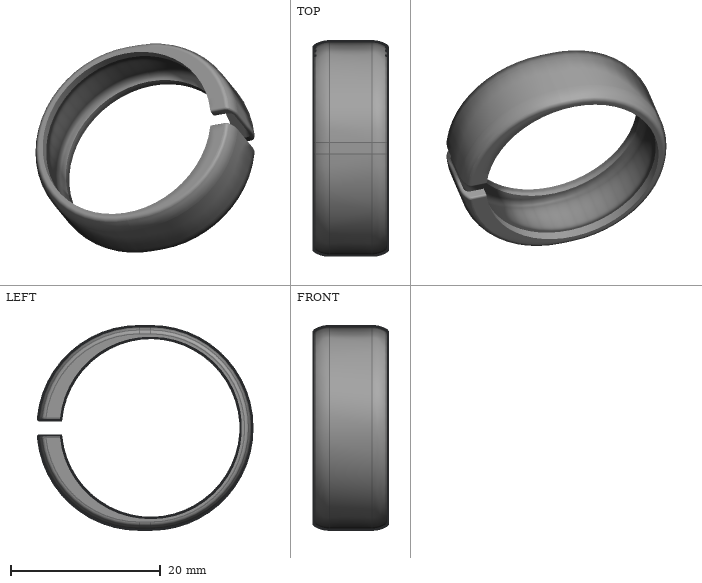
import cadquery as cq
import math

width = 10.0
outer_radius = 13.6
center_offset = 1.5
bore_radius = 12.0

flat_width = 5.65
shoulder_radius = 3.6
edge_radius = 0.6

flange_thickness = 1.3
channel_radius = 13.1
channel_corner_radius = 0.8

gap_height = 2.0
gap_edge_radius = 0.3

side_tolerance = 1e-4
crown_tolerance = 0.01

bore_axis_y = -center_offset / 2
gap_axis_y = center_offset / 2
half_width = width / 2
half_flat = flat_width / 2


def point_on_arc(center, radius, angle):
    """Point on a circle, with the angle measured from +Z toward +X."""
    return (center[0] + radius * math.sin(angle), center[1] + radius * math.cos(angle))


def section(axis_y):
    """Crowned cross-section in the XZ plane at axis_y, above the ring axis."""
    shoulder_center = (half_flat, outer_radius - shoulder_radius)
    edge_x = half_width - edge_radius
    meet_angle = math.asin((edge_x - half_flat) / (shoulder_radius - edge_radius))
    edge_center = point_on_arc(shoulder_center, shoulder_radius - edge_radius, meet_angle)

    shoulder_mid = point_on_arc(shoulder_center, shoulder_radius, meet_angle / 2)
    meet = point_on_arc(shoulder_center, shoulder_radius, meet_angle)
    edge_mid = point_on_arc(edge_center, edge_radius, (meet_angle + math.pi / 2) / 2)
    edge_end = (half_width, edge_center[1])

    def mirrored(point):
        return (-point[0], point[1])

    return (
        cq.Workplane("XZ", origin=(0, axis_y, 0))
        .moveTo(-half_width, 0)
        .lineTo(half_width, 0)
        .lineTo(*edge_end)
        .threePointArc(edge_mid, meet)
        .threePointArc(shoulder_mid, (half_flat, outer_radius))
        .lineTo(-half_flat, outer_radius)
        .threePointArc(mirrored(shoulder_mid), mirrored(meet))
        .threePointArc(mirrored(edge_mid), mirrored(edge_end))
        .close()
    )


def outer_body():
    """Solid crowned body: two half turns joined by a straight stretch."""
    bore_half = section(bore_axis_y).revolve(180, (0, 0), (1, 0))
    gap_half = section(gap_axis_y).revolve(180, (0, 0), (-1, 0))
    straight_top = section(gap_axis_y).extrude(center_offset)
    straight_bottom = straight_top.mirror("XY")
    return bore_half.union(gap_half).union(straight_top).union(straight_bottom)


def bore():
    """Round opening through both flanges."""
    return (
        cq.Workplane("YZ", origin=(-half_width, 0, 0))
        .center(bore_axis_y, 0)
        .circle(bore_radius)
        .extrude(width)
    )


def channel():
    """Oblong channel between the flanges, with rounded floor corners."""
    return (
        cq.Workplane("YZ", origin=(-half_width + flange_thickness, 0, 0))
        .slot2D(center_offset + 2 * channel_radius, 2 * channel_radius)
        .extrude(width - 2 * flange_thickness)
        .faces("<X or >X")
        .edges()
        .fillet(channel_corner_radius)
    )


def gap():
    """Slot that opens the ring on the +Y side."""
    return cq.Workplane("XY").box(width, 2 * outer_radius, gap_height).translate((0, outer_radius, 0))


def gap_outer_edges(ring):
    """Edges of the two gap faces that lie on the outside of the ring."""
    gap_region = cq.selectors.BoxSelector(
        (-width, 0, -gap_height), (width, 2 * outer_radius, gap_height)
    )
    face_edges = ring.faces(gap_region).faces("|Z").edges()
    edges = []
    for edge in face_edges.vals():
        middle = edge.positionAt(0.5)
        on_side = abs(abs(middle.x) - half_width) < side_tolerance
        on_crown = middle.y > gap_axis_y + channel_radius + crown_tolerance
        if on_side or on_crown:
            edges.append(edge)
    return edges


ring = outer_body().cut(bore()).cut(channel()).cut(gap())
result = ring.newObject(gap_outer_edges(ring)).fillet(gap_edge_radius)